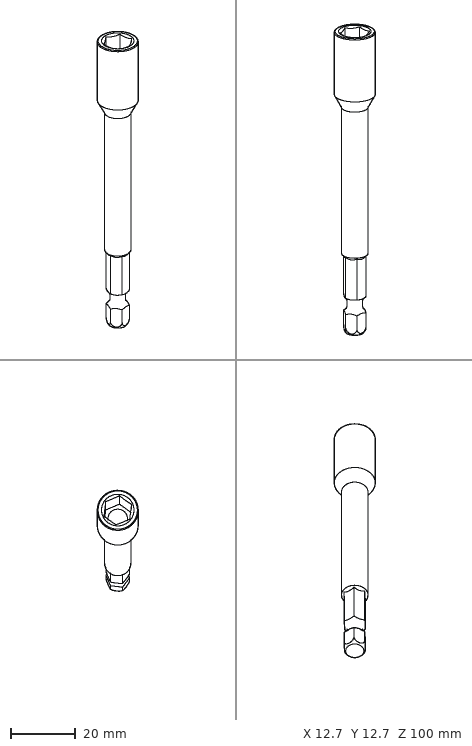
import cadquery as cq
import math

length = 100.0
head_diameter = 12.7
head_radius = head_diameter / 2
head_bottom = 79.1
neck_top = 74.8
body_radius = 4.1
body_bottom = 26.2
body_cone_height = 1.0
body_cone_tip_radius = 3.2
head_chamfer = 0.3

shank_flats = 6.4
shank_corner_radius = shank_flats / math.sqrt(3)
tip_radius = 2.8
tip_round_height = 2.5

groove_radius = 2.4
groove_middle = 9.5
groove_land = 1.2
groove_flare_radius = 2.3

socket_flats = 8.0
socket_depth = 12.0
mouth_radius = 5.0
mouth_angle = 60.0
point_radius = 3.0
point_angle = 118.0


def hexagon(flats, height, bottom):
    """Hexagonal prism with two corners on the X axis."""
    corner_diameter = 2 * flats / math.sqrt(3)
    return cq.Workplane("XY").workplane(offset=bottom).polygon(6, corner_diameter).extrude(height)


def revolve_about_z(profile):
    """Close a radius-height profile and turn it about the Z axis."""
    return profile.close().revolve(360, (0, 0, 0), (0, 1, 0))


def make_body():
    """Turned head, neck and body, with a short cone running into the shank."""
    profile = (
        cq.Workplane("XZ")
        .moveTo(0, body_bottom - body_cone_height)
        .lineTo(body_cone_tip_radius, body_bottom - body_cone_height)
        .lineTo(body_radius, body_bottom)
        .lineTo(body_radius, neck_top)
        .lineTo(head_radius, head_bottom)
        .lineTo(head_radius, length - head_chamfer)
        .lineTo(head_radius - head_chamfer, length)
        .lineTo(0, length)
    )
    return revolve_about_z(profile)


def make_shank():
    """Hexagon limited by a turned envelope that rounds the tip and cuts the groove."""
    land_bottom = groove_middle - groove_land / 2
    land_top = groove_middle + groove_land / 2
    flare_inset = groove_radius + groove_flare_radius - shank_corner_radius
    flare_height = math.sqrt(groove_flare_radius**2 - flare_inset**2)
    tip_inset = shank_corner_radius - tip_radius
    tip_arc_radius = (tip_round_height**2 + tip_inset**2) / (2 * tip_inset)
    envelope = (
        cq.Workplane("XZ")
        .lineTo(tip_radius, 0)
        .radiusArc((shank_corner_radius, tip_round_height), -tip_arc_radius)
        .lineTo(shank_corner_radius, land_bottom - flare_height)
        .radiusArc((groove_radius, land_bottom), groove_flare_radius)
        .lineTo(groove_radius, land_top)
        .radiusArc((shank_corner_radius, land_top + flare_height), groove_flare_radius)
        .lineTo(shank_corner_radius, body_bottom)
        .lineTo(0, body_bottom)
    )
    return hexagon(shank_flats, body_bottom, 0).intersect(revolve_about_z(envelope))


def make_socket():
    """Hexagonal pocket with a countersunk mouth and a drill point in its floor."""
    floor = length - socket_depth
    pocket = hexagon(socket_flats, socket_depth, floor).rotate((0, 0, 0), (0, 0, 1), 30)
    mouth_depth = mouth_radius / math.tan(math.radians(mouth_angle))
    mouth = revolve_about_z(
        cq.Workplane("XZ").moveTo(0, length).lineTo(mouth_radius, length).lineTo(0, length - mouth_depth)
    )
    point_depth = point_radius / math.tan(math.radians(point_angle / 2))
    point = revolve_about_z(
        cq.Workplane("XZ").moveTo(0, floor).lineTo(point_radius, floor).lineTo(0, floor - point_depth)
    )
    return pocket.union(mouth).union(point)


result = make_body().union(make_shank()).cut(make_socket())